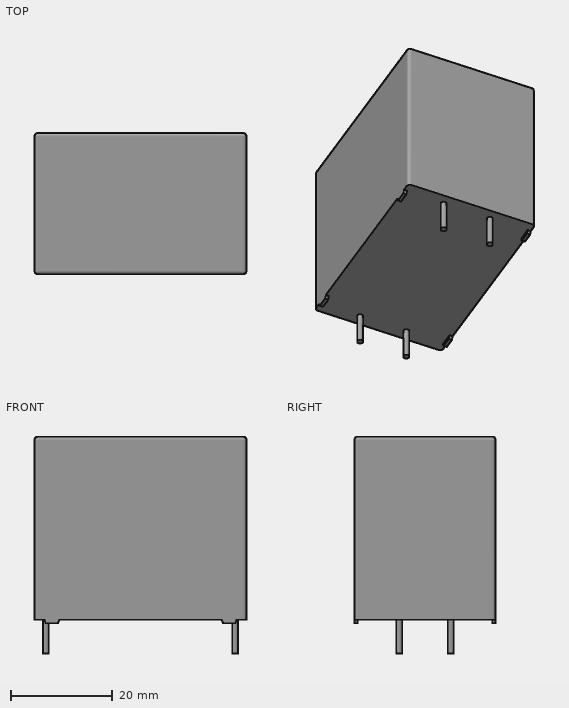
import cadquery as cq


case_length = 42.0
case_width = 28.0
seated_height = 37.0
edge_radius = 0.7

foot_height = 0.7
foot_thickness = edge_radius
foot_tip_length = 2.4
foot_taper = 0.3
foot_center_x = 17.55

lead_diameter = 1.2
lead_length = 6.0
lead_pitch_x = 37.5
lead_pitch_y = 10.2


def make_case():
    """Box with rounded vertical edges and a rounded top rim."""
    case_height = seated_height - foot_height
    return (
        cq.Workplane("XY")
        .workplane(offset=foot_height)
        .box(case_length, case_width, case_height, centered=(True, True, False))
        .edges("|Z or >Z")
        .fillet(edge_radius)
    )


def make_foot(center_x, side):
    """Trapezoidal tab flush with the long wall on the given side (-1 or 1)."""
    half_tip = foot_tip_length / 2
    half_root = half_tip + foot_taper
    center_y = side * (case_width - foot_thickness) / 2
    return (
        cq.Workplane("XZ", origin=(center_x, center_y, 0))
        .moveTo(-half_tip, 0)
        .lineTo(half_tip, 0)
        .lineTo(half_root, foot_height)
        .lineTo(-half_root, foot_height)
        .close()
        .extrude(foot_thickness / 2, both=True)
    )


def make_leads():
    """Four round leads on a rectangular grid, ending flat below the feet."""
    return (
        cq.Workplane("XY")
        .workplane(offset=-lead_length)
        .rarray(lead_pitch_x, lead_pitch_y, 2, 2)
        .circle(lead_diameter / 2)
        .extrude(lead_length + foot_height)
    )


result = make_case()
for end in (-1, 1):
    for side in (-1, 1):
        result = result.union(make_foot(end * foot_center_x, side))
result = result.union(make_leads())